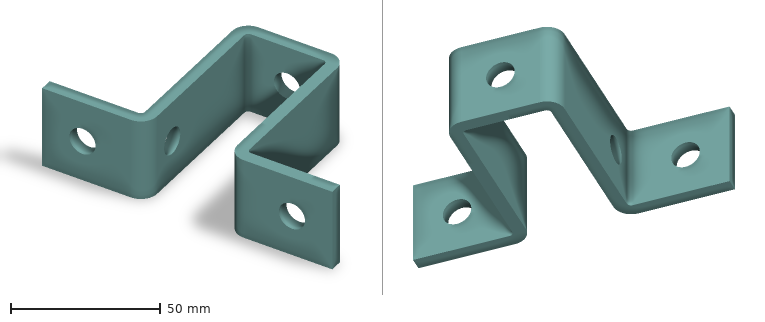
import cadquery as cq

length = 114.3
depth = 68.2
height = 31.8
thickness = 4.8
hat_width = 41.3
inner_bend_radius = 1.6
outer_bend_radius = inner_bend_radius + thickness

hole_diameter = 10.3
flange_hole_spacing = 41.3
leg_hole_offset = 16.0

half_length = length / 2
half_hat = hat_width / 2
half_channel = half_hat - thickness


def make_strip():
    """Bent strip, with its front at Y = 0 and its lower edge at Z = 0."""
    outline = [
        (-half_length, 0),
        (-half_channel, 0),
        (-half_channel, depth - thickness),
        (half_channel, depth - thickness),
        (half_channel, 0),
        (half_length, 0),
        (half_length, thickness),
        (half_hat, thickness),
        (half_hat, depth),
        (-half_hat, depth),
        (-half_hat, thickness),
        (-half_length, thickness),
    ]
    strip = cq.Workplane("XY").polyline(outline).close().extrude(height)
    for side in (-1, 1):
        outer_corners = [(side * half_channel, 0), (side * half_hat, depth)]
        inner_corners = [(side * half_hat, thickness), (side * half_channel, depth - thickness)]
        for corners, radius in ((outer_corners, outer_bend_radius), (inner_corners, inner_bend_radius)):
            for x, y in corners:
                edge = cq.selectors.NearestToPointSelector((x, y, height / 2))
                strip = strip.edges("|Z").edges(edge).fillet(radius)
    return strip


def make_front_holes():
    """Cutters along Y through both flanges and the web."""
    places = [(i * flange_hole_spacing, height / 2) for i in (-1, 0, 1)]
    return cq.Workplane("XZ").pushPoints(places).circle(hole_diameter / 2).extrude(-depth)


def make_leg_hole():
    """Cutter along X through the -X leg only."""
    return (
        cq.Workplane("YZ", origin=(-half_hat, 0, 0))
        .center(leg_hole_offset, height / 2)
        .circle(hole_diameter / 2)
        .extrude(thickness)
    )


result = make_strip().cut(make_front_holes()).cut(make_leg_hole())